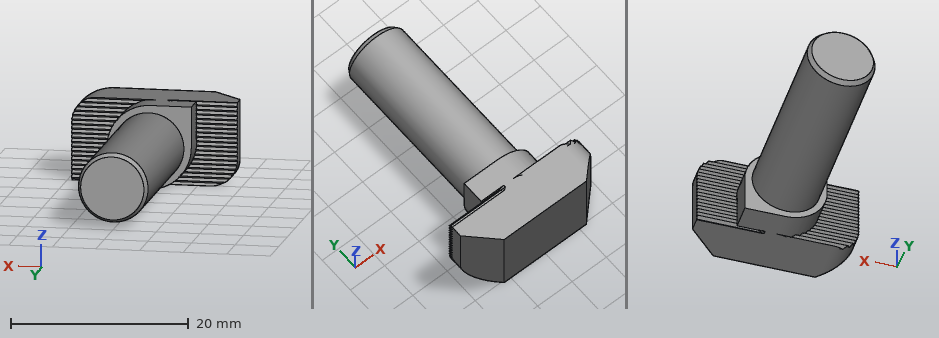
import cadquery as cq
import math


total_length = 30.5
head_length = 19.0
head_width = 9.7

head_thickness = 5.5
head_chamfer = 3.5
head_corner_radius = 3.0

neck_height = 3.02
neck_corner_radius = 5.0

shank_diameter = 8.0
tip_taper_length = 0.58
tip_taper_inset = 0.37

tooth_pitch = 0.52
tooth_depth = 0.5

tooth_count = math.ceil(head_width / tooth_pitch)


def round_turning_corners(block, radius):
    """Round the (-X, -Z) and (+X, +Z) edges that run along Y."""
    def is_turning_corner(edge):
        center = edge.Center()
        return center.x * center.z > 0

    corners = [edge for edge in block.edges("|Y").vals() if is_turning_corner(edge)]
    return block.newObject(corners).fillet(radius)


def make_head():
    """Block with two rounded corners and sloped ends."""
    block = cq.Workplane("XY").box(head_length, head_thickness, head_width)
    block = round_turning_corners(block, head_corner_radius)
    block = block.translate((0, -head_thickness / 2, 0))
    half_length = head_length / 2
    shoulder_y = head_chamfer - head_thickness
    outline = (
        cq.Workplane("XY", origin=(0, 0, -head_width / 2))
        .moveTo(-half_length, 0)
        .lineTo(-half_length, shoulder_y)
        .lineTo(head_chamfer - half_length, -head_thickness)
        .lineTo(half_length - head_chamfer, -head_thickness)
        .lineTo(half_length, shoulder_y)
        .lineTo(half_length, 0)
        .close()
        .extrude(head_width)
    )
    return block.intersect(outline)


def make_neck():
    """Square neck with two opposite corners rounded."""
    block = cq.Workplane("XY").box(head_width, neck_height, head_width)
    block = round_turning_corners(block, neck_corner_radius)
    return block.translate((0, neck_height / 2, 0))


def make_shank():
    """Round shank with a tapered tip, revolved about the Y axis."""
    radius = shank_diameter / 2
    tip_y = total_length - head_thickness
    return (
        cq.Workplane("XY")
        .lineTo(radius, 0)
        .lineTo(radius, tip_y - tip_taper_length)
        .lineTo(radius - tip_taper_inset, tip_y)
        .lineTo(0, tip_y)
        .close()
        .revolve(360, (0, 0, 0), (0, 1, 0))
    )


def make_end_grooves():
    """V grooves in the -X end of the clamping face, ending where they meet the neck rounding."""
    rounding_center = neck_corner_radius - head_width / 2
    half_length = head_length / 2
    lower_side = -head_width / 2

    grooves = cq.Workplane("YZ", origin=(-half_length, 0, 0))
    for index in range(tooth_count):
        crest_z = lower_side + index * tooth_pitch
        grooves = (
            grooves.moveTo(0, crest_z)
            .lineTo(-tooth_depth, crest_z + tooth_pitch / 2)
            .lineTo(0, crest_z + tooth_pitch)
            .close()
        )
    grooves = grooves.extrude(half_length + rounding_center)

    smooth_area = (
        cq.Workplane("XZ", origin=(rounding_center, 0, rounding_center))
        .circle(neck_corner_radius)
        .extrude(head_thickness)
    )
    return grooves.cut(smooth_area)


left_grooves = make_end_grooves()
right_grooves = left_grooves.rotate((0, 0, 0), (0, 1, 0), 180)

result = make_head().cut(left_grooves).cut(right_grooves)
result = result.union(make_neck()).union(make_shank()).clean()